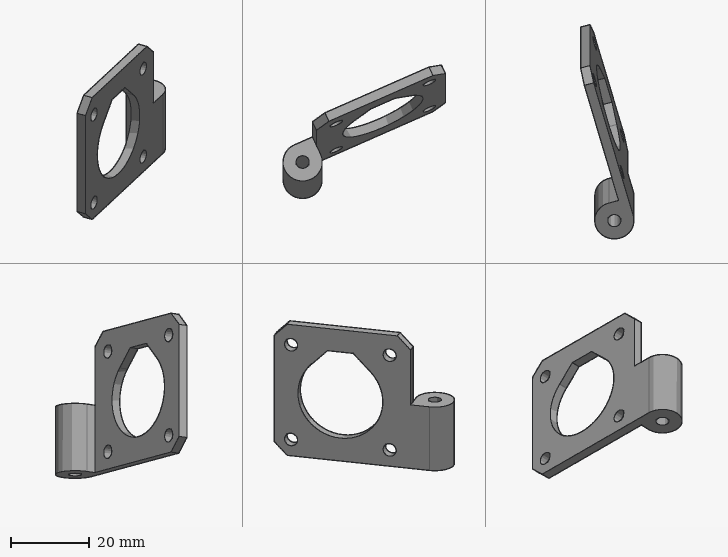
import cadquery as cq
import math

total_length = 46.0
barrel_diameter = 10.0
barrel_height = 17.5
pin_diameter = 3.3

plate_size = total_length - barrel_diameter
plate_thickness = 2.5
corner_chamfer = 3.5

opening_diameter = 22.35
opening_top_height = 12.4
opening_edge_distance = 17.5
screw_spacing = 26.0
screw_diameter = 3.4

barrel_radius = barrel_diameter / 2
plate_inner_y = -barrel_radius
plate_outer_y = plate_inner_y - plate_size
plate_left_x = barrel_radius - plate_thickness
opening_y = plate_outer_y + opening_edge_distance
opening_z = opening_edge_distance


def plate_plane(y=0, z=0):
    """Sketch plane on the plate's -X face, with local axes along Y and Z."""
    return cq.Workplane("YZ", origin=(plate_left_x, y, z))


def make_plate():
    """Square plate with every corner cut except the lower one at the barrel."""
    return (
        plate_plane()
        .moveTo(plate_inner_y, 0)
        .lineTo(plate_outer_y + corner_chamfer, 0)
        .lineTo(plate_outer_y, corner_chamfer)
        .lineTo(plate_outer_y, plate_size - corner_chamfer)
        .lineTo(plate_outer_y + corner_chamfer, plate_size)
        .lineTo(plate_inner_y - corner_chamfer, plate_size)
        .lineTo(plate_inner_y, plate_size - corner_chamfer)
        .close()
        .extrude(plate_thickness)
    )


def make_barrel():
    """Round barrel with one square quadrant that joins the plate."""
    return (
        cq.Workplane("XY")
        .moveTo(0, -barrel_radius)
        .lineTo(barrel_radius, -barrel_radius)
        .lineTo(barrel_radius, 0)
        .threePointArc(
            (-barrel_radius * math.sqrt(0.5), barrel_radius * math.sqrt(0.5)),
            (0, -barrel_radius),
        )
        .close()
        .extrude(barrel_height)
    )


def make_opening():
    """Teardrop opening: 45-degree tangents above a circle, cut off flat."""
    radius = opening_diameter / 2
    tangent_offset = radius * math.sqrt(0.5)
    top_half_width = radius * math.sqrt(2) - opening_top_height
    return (
        plate_plane(opening_y, opening_z)
        .moveTo(-tangent_offset, tangent_offset)
        .lineTo(-top_half_width, opening_top_height)
        .lineTo(top_half_width, opening_top_height)
        .lineTo(tangent_offset, tangent_offset)
        .threePointArc((0, -radius), (-tangent_offset, tangent_offset))
        .close()
        .extrude(plate_thickness)
    )


def make_screw_holes():
    """Four screw holes in a square around the opening center."""
    return (
        plate_plane(opening_y, opening_z)
        .rect(screw_spacing, screw_spacing, forConstruction=True)
        .vertices()
        .circle(screw_diameter / 2)
        .extrude(plate_thickness)
    )


pin_bore = cq.Workplane("XY").circle(pin_diameter / 2).extrude(barrel_height)

result = (
    make_plate()
    .union(make_barrel())
    .cut(pin_bore)
    .cut(make_opening())
    .cut(make_screw_holes())
)